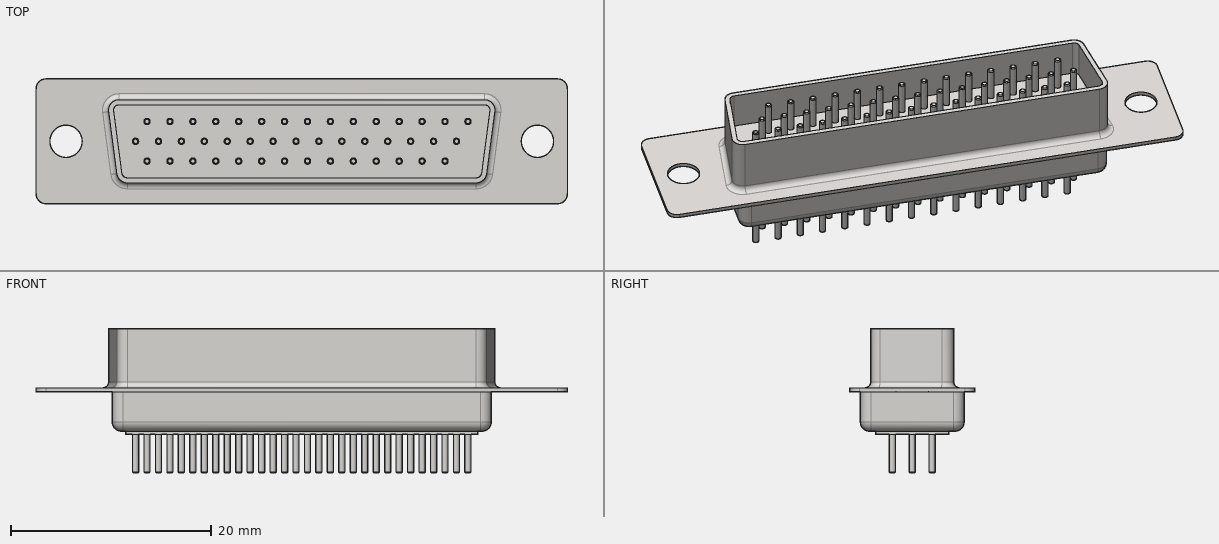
import cadquery as cq
import math

flange_length = 53.1
flange_width = 12.5
flange_thickness = 0.4
flange_corner_radius = 1.0
mounting_hole_diameter = 3.2
mounting_hole_spacing = 47.1

shell_height = 5.9
shell_mid_length = 37.8
shell_width = 8.3
shell_end_angle = 7.5
shell_corner_radius = 1.05
shell_wall = 0.5
shell_flare_radius = 0.6

floor_height = 2.05

body_length = 37.9
body_width = 10.4
body_depth = 3.95
body_corner_radius = 1.1
body_edge_radius = 0.95

pad_length = 35.2
pad_width = 7.3
pad_thickness = 0.3

overall_height = 14.4
pin_diameter = 0.64
pin_tip_chamfer = 0.1
pin_pitch = 2.29
pin_row_spacing = 1.98
full_row_count = 15
short_row_count = 14
pin_recess = 0.4
pin_top_z = shell_height - pin_recess
pin_bottom_z = shell_height - overall_height

body_bottom_z = -flange_thickness - body_depth


def make_shell_prism(inset, height):
    """D-shaped prism standing on z = 0, its outline moved inwards by inset."""
    slant = math.radians(shell_end_angle)
    half_width = shell_width / 2 - inset
    half_mid = shell_mid_length / 2 - inset / math.cos(slant)
    half_change = half_width * math.tan(slant)
    half_long = half_mid + half_change
    half_short = half_mid - half_change
    outline = [
        (-half_short, -half_width),
        (half_short, -half_width),
        (half_long, half_width),
        (-half_long, half_width),
    ]
    prism = cq.Workplane("XY").polyline(outline).close().extrude(height)
    return prism.edges("|Z").fillet(shell_corner_radius - inset)


def make_flange():
    plate = cq.Workplane("XY").box(
        flange_length, flange_width, flange_thickness, centered=(True, True, False)
    )
    plate = plate.translate((0, 0, -flange_thickness))
    return plate.edges("|Z").fillet(flange_corner_radius)


def make_flange_with_shell():
    """Flange and shell, joined by a concave flare and hollow above the floor."""
    joined = make_flange().union(make_shell_prism(0, shell_height))
    foot_reach_x = mounting_hole_spacing / 2
    foot_reach_y = flange_width / 2 - flange_corner_radius
    foot_reach_z = flange_thickness / 2
    foot = cq.selectors.BoxSelector(
        (-foot_reach_x, -foot_reach_y, -foot_reach_z),
        (foot_reach_x, foot_reach_y, foot_reach_z),
    )
    joined = joined.edges(foot).fillet(shell_flare_radius)
    cavity = make_shell_prism(shell_wall, shell_height - floor_height)
    joined = joined.cut(cavity.translate((0, 0, floor_height)))
    half_spacing = mounting_hole_spacing / 2
    holes = (
        cq.Workplane("XY", origin=(0, 0, -flange_thickness))
        .pushPoints([(-half_spacing, 0), (half_spacing, 0)])
        .circle(mounting_hole_diameter / 2)
        .extrude(flange_thickness)
    )
    return joined.cut(holes)


def make_rear_body():
    body = cq.Workplane("XY", origin=(0, 0, -flange_thickness))
    body = body.rect(body_length, body_width).extrude(-body_depth)
    body = body.edges("|Z").fillet(body_corner_radius)
    body = body.faces("<Z").edges().fillet(body_edge_radius)
    pad = cq.Workplane("XY", origin=(0, 0, body_bottom_z))
    pad = pad.rect(pad_length, pad_width).extrude(-pad_thickness)
    return body.union(pad)


def pin_row(count, first_x, y):
    return [(first_x + index * pin_pitch, y) for index in range(count)]


def pin_positions():
    """Pin centres; the two full rows mirror each other about X = 0."""
    middle_start = -(full_row_count - 0.5) * pin_pitch / 2
    outer_start = middle_start + pin_pitch / 2
    rear_row = pin_row(full_row_count, outer_start, pin_row_spacing)
    middle_row = pin_row(full_row_count, middle_start, 0)
    front_row = pin_row(short_row_count, outer_start, -pin_row_spacing)
    return rear_row + middle_row + front_row


def make_pins():
    pins = (
        cq.Workplane("XY", origin=(0, 0, pin_bottom_z))
        .pushPoints(pin_positions())
        .circle(pin_diameter / 2)
        .extrude(pin_top_z - pin_bottom_z)
    )
    return pins.faces("<Z or >Z").edges().chamfer(pin_tip_chamfer)


result = make_flange_with_shell().union(make_rear_body()).union(make_pins())